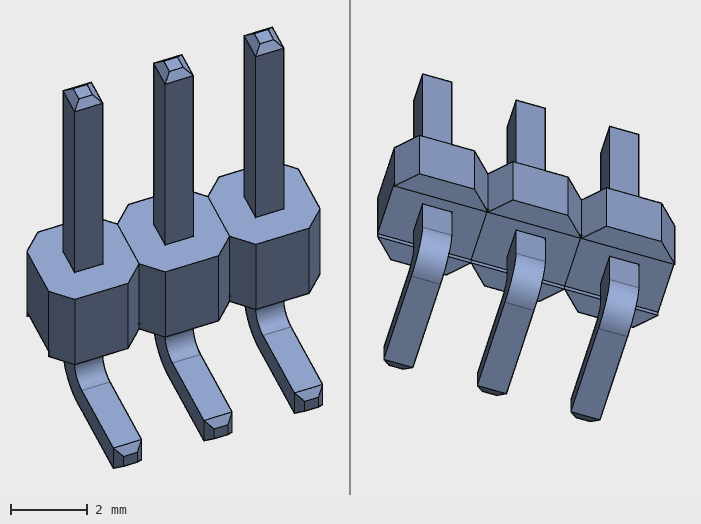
import cadquery as cq
import math


pin_count = 3
pitch = 2.54

housing_width = pitch
housing_height = 2.54
housing_bottom = 2.34
corner_chamfer = 0.52
channel_depth = 0.2
channel_width = housing_width - 2 * corner_chamfer

pin_width = 0.79
pin_top = 11.34
total_length = 4.54
lead_end = total_length - housing_width / 2
tip_chamfer = 0.2
inner_bend_radius = 0.5
outer_bend_radius = 1.0


def arc_middle(center_x, center_z, radius):
    """Point on a bend arc halfway between its vertical and horizontal tangents."""
    offset = radius * math.cos(math.radians(45))
    return (center_x - offset, center_z - offset)


def make_housing(y):
    """Octagonal block with a channel under it along Y and a square hole for the pin."""
    block = (
        cq.Workplane("XY", origin=(0, y, housing_bottom))
        .rect(housing_width, housing_width)
        .extrude(housing_height)
        .edges("|Z")
        .chamfer(corner_chamfer)
    )
    channel = (
        cq.Workplane("XY", origin=(0, y, housing_bottom))
        .rect(channel_width, housing_width)
        .extrude(channel_depth)
    )
    pin_hole = (
        cq.Workplane("XY", origin=(0, y, housing_bottom))
        .rect(pin_width, pin_width)
        .extrude(housing_height)
    )
    return block.cut(channel).cut(pin_hole)


def make_pin(y):
    """Square pin bent towards +X at its foot, with both ends tapered."""
    half = pin_width / 2
    inner_x = half + inner_bend_radius
    inner_z = pin_width + inner_bend_radius
    outer_x = -half + outer_bend_radius
    outer_z = outer_bend_radius
    bent_bar = (
        cq.Workplane("XZ", origin=(0, y, 0))
        .moveTo(-half, pin_top)
        .lineTo(-half, outer_z)
        .threePointArc(arc_middle(outer_x, outer_z, outer_bend_radius), (outer_x, 0))
        .lineTo(lead_end, 0)
        .lineTo(lead_end, pin_width)
        .lineTo(inner_x, pin_width)
        .threePointArc(arc_middle(inner_x, inner_z, inner_bend_radius), (half, inner_z))
        .lineTo(half, pin_top)
        .close()
        .extrude(half, both=True)
    )
    return bent_bar.faces(">Z or >X").edges().chamfer(tip_chamfer)


housings = []
pins = []
for index in range(pin_count):
    y = (index - (pin_count - 1) / 2) * pitch
    housings.append(make_housing(y).val())
    pins.append(make_pin(y).val())

result = cq.Compound.makeCompound([*housings, *pins])